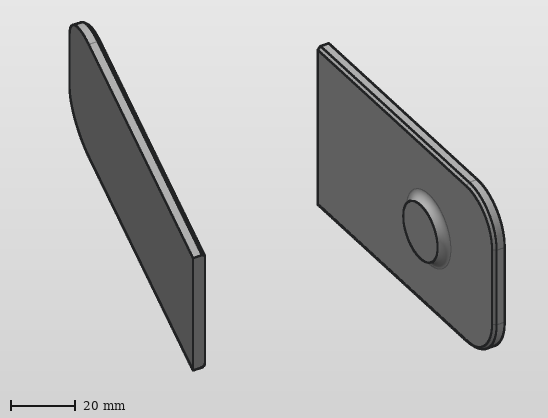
import cadquery as cq

length = 102.8
height = 60.0
thickness = 4.0
corner_radius = 16.0
edge_chamfer = 1.0

total_depth = 7.0
boss_diameter = 20.0
boss_from_left = 38.0
boss_height = total_depth - thickness
flare_radius = boss_height

left = -length / 2


def make_plate():
    """Plate with two rounded left corners, chamfered at the back except on the right end."""
    plate = cq.Workplane("XY").box(length, thickness, height, centered=(True, False, True))
    plate = plate.edges("|Y and <X").fillet(corner_radius)
    return plate.faces(">Y").edges("not >X").chamfer(edge_chamfer)


def make_boss():
    """Boss revolved about an axis along Y, with a concave quarter-circle side."""
    top_radius = boss_diameter / 2
    base_radius = top_radius + flare_radius
    diagonal = flare_radius * (1 - 0.5 ** 0.5)
    profile = (
        cq.Workplane("XY")
        .lineTo(base_radius, 0)
        .lineTo(base_radius, thickness)
        .threePointArc((top_radius + diagonal, thickness + diagonal), (top_radius, total_depth))
        .lineTo(0, total_depth)
        .close()
    )
    boss = profile.revolve(360, (0, 0, 0), (0, 1, 0))
    return boss.translate((left + boss_from_left, 0, 0))


result = make_plate().union(make_boss())